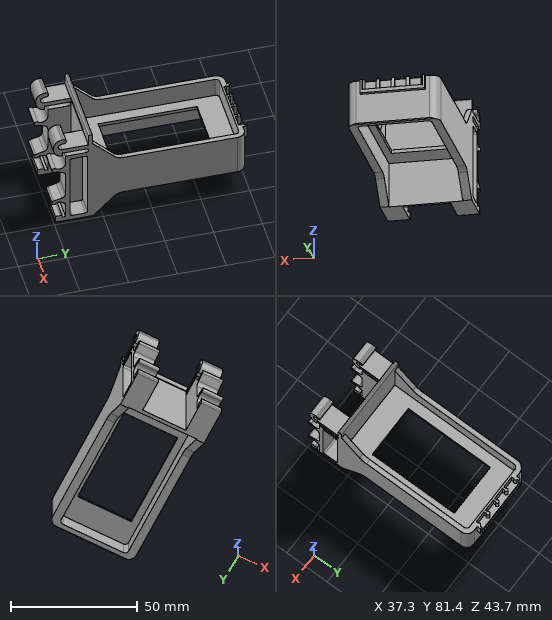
import cadquery as cq
import math


width = 37.3
length = 81.4
height = 43.7

tray_back = 79.8
tray_bottom = 10.0
tray_top = 28.6
tray_middle = (tray_bottom + tray_top) / 2
side_wall = 2.2
back_wall = 2.4
lower_side_wall = 3.7
tray_corner = 3.75
floor_thickness = 1.5
window_width = 23.8
window_front = 26.9
window_back = 67.4
flare_reach = 10.3
flare_blend = 4.9
back_bevel = 0.4

plate_front = 15.0
plate_back = 16.7
plate_round = 0.7
plate_relief = 0.25

leg_width = 9.0
pad_front = 5.6
pad_top = 34.7
leg_bottom_wall = 2.2
pocket_front = 7.5
pocket_back = 14.6
pocket_top = 32.7
pocket_corner = 0.8
pocket_end_wall = 1.5

lip_front = 1.5
lip_back = 4.4
lip_top = 3.2
lip_round = 0.9
edge_round = 0.5

arm_bottom = 36.6
arm_top = 38.6
hook_centre_y = 4.15
hook_centre_z = 40.05
hook_front = 0.7
hook_tip_y = 4.8
hook_drop_back = 4.3
hook_drop_bottom = 35.2

clip_middle = 19.4
clip_tip_radius = 1.0
clip_tip_offset = 8.7
clip_hollow_radius = 2.5
clip_root_radius = 2.0
clip_slope = math.radians(15)

holder_width = 26.2
holder_bottom = 22.7
holder_base = 1.5
recess_front = 78.3
shoulder_width = 1.0
peg_pitch = 6.0
peg_count = 5
peg_radius = 0.7
peg_neck = 1.0
peg_centre = 79.85


def box(x_min, x_max, y_min, y_max, z_min, z_max):
    size = (x_max - x_min, y_max - y_min, z_max - z_min)
    return cq.Workplane().box(*size, centered=False).translate((x_min, y_min, z_min))


def across(profile):
    """Extrude a closed Y-Z profile over the full width, centred in X."""
    return profile.extrude(width / 2, both=True)


def edge_at(y, z):
    """Select the edge along X that is centred at the given Y and Z."""
    return cq.selectors.NearestToPointSelector((0, y, z))


def make_body():
    """Tray outline, flared towards the cross plate at 45 degrees above and below."""
    flare_end = plate_back + flare_reach
    outline = [
        (plate_front, 0),
        (flare_end - tray_bottom, 0),
        (flare_end, tray_bottom),
        (tray_back, tray_bottom),
        (tray_back, tray_top),
        (flare_end, tray_top),
        (plate_back, tray_top + flare_reach),
        (plate_back, height),
        (plate_front, height),
    ]
    body = across(cq.Workplane("YZ").polyline(outline).close())
    body = body.edges(edge_at(flare_end, tray_bottom)).fillet(flare_blend)
    body = body.edges(edge_at(flare_end, tray_top)).fillet(flare_blend)
    body = body.edges(edge_at(tray_back, tray_bottom)).chamfer(back_bevel)
    body = body.edges("|Z and >Y").fillet(tray_corner)
    return body.edges("|X and >Z").fillet(plate_round)


def make_cavity(thickness, z_min, z_max):
    """Space inside the tray, leaving side walls of the given thickness."""
    half = width / 2 - thickness
    cavity = box(-half, half, plate_back, tray_back - back_wall, z_min, z_max)
    return cavity.edges("|Z and >Y").fillet(tray_corner - side_wall)


def make_leg_blocks():
    """Upright pad with a lip at its foot, over the full width."""
    block = box(-width / 2, width / 2, pad_front, plate_front, 0, pad_top)
    block = block.edges("|X and <Y and >Z").fillet(edge_round)
    lip = (
        cq.Workplane("YZ")
        .moveTo(pad_front, 0)
        .lineTo(lip_front, 0)
        .lineTo(lip_front, lip_top)
        .lineTo(lip_back, lip_top)
        .lineTo(lip_back, leg_bottom_wall)
        .lineTo(pad_front, leg_bottom_wall)
        .close()
    )
    lip = across(lip)
    lip = lip.edges("|X and <Y and <Z").fillet(edge_round)
    lip = lip.edges(edge_at(lip_back, lip_top)).fillet(lip_round)
    return block.union(lip)


def make_hook():
    """Straight arm ending in an upward curl with a short drop in front."""
    outer = hook_centre_y - hook_front
    inner = hook_centre_z - arm_top
    curl_top = hook_centre_z + inner
    tip_radius = (height - curl_top) / 2
    drop = arm_top - hook_drop_bottom
    diagonal = math.sqrt(0.5)
    profile = (
        cq.Workplane("YZ")
        .moveTo(plate_front, arm_bottom)
        .lineTo(hook_drop_back, arm_bottom)
        .lineTo(hook_drop_back, hook_drop_bottom)
        .threePointArc(
            (hook_drop_back - (hook_drop_back - hook_front) * diagonal, arm_top - drop * diagonal),
            (hook_front, arm_top),
        )
        .lineTo(hook_front, hook_centre_z)
        .threePointArc(
            (hook_centre_y - outer * diagonal, hook_centre_z + (height - hook_centre_z) * diagonal),
            (hook_centre_y, height),
        )
        .lineTo(hook_tip_y, height)
        .threePointArc((hook_tip_y + tip_radius, height - tip_radius), (hook_tip_y, curl_top))
        .lineTo(hook_centre_y, curl_top)
        .threePointArc((hook_centre_y - inner, hook_centre_z), (hook_centre_y, arm_top))
        .lineTo(plate_front, arm_top)
        .close()
    )
    return across(profile)


def make_slit_end():
    """Round end of the slit between the hook arm and the leg, against the plate."""
    radius = (arm_bottom - pad_top) / 2
    centre_y = plate_front - radius
    filler = box(-width / 2, width / 2, centre_y, plate_front, pad_top, arm_bottom)
    bore = across(cq.Workplane("YZ").center(centre_y, pad_top + radius).circle(radius))
    return filler.cut(bore)


def make_clip():
    """Upper rail clip: hollow on top, round tip, sloping underside blended into the pad."""
    tip = clip_tip_radius
    tip_z = clip_middle + clip_tip_offset
    hollow_y = pad_front - clip_hollow_radius
    centres = tip + clip_hollow_radius
    rise = math.sqrt(centres**2 - (hollow_y - tip) ** 2)
    hollow_z = tip_z + rise
    meet = (tip + (hollow_y - tip) * tip / centres, tip_z + rise * tip / centres)
    under = (tip - tip * math.sin(clip_slope), tip_z - tip * math.cos(clip_slope))

    turn = math.pi / 2 - clip_slope
    root_corner_z = under[1] - (pad_front - under[0]) * math.tan(clip_slope)
    root_y = pad_front - clip_root_radius
    root_z = root_corner_z - clip_root_radius * math.tan(turn / 2)

    def on_root(angle):
        return (root_y + clip_root_radius * math.cos(angle), root_z + clip_root_radius * math.sin(angle))

    profile = (
        cq.Workplane("YZ")
        .moveTo(pad_front, hollow_z)
        .threePointArc((hollow_y, hollow_z - clip_hollow_radius), meet)
        .threePointArc((0, tip_z), under)
        .lineTo(*on_root(turn))
        .threePointArc(on_root(turn / 2), on_root(0))
        .close()
    )
    return across(profile)


def make_pocket():
    """Blind pocket in the outer face of the left leg."""
    left = -width / 2
    pocket = box(
        left, left + leg_width - pocket_end_wall, pocket_front, pocket_back, leg_bottom_wall, pocket_top
    )
    return pocket.edges("|X").fillet(pocket_corner)


def make_pegs(z_min, z_max):
    """Row of upright keyhole pegs: a round head on a narrow neck."""
    pegs = cq.Workplane()
    for index in range(peg_count):
        x = (index - (peg_count - 1) / 2) * peg_pitch
        head = cq.Workplane(origin=(x, peg_centre, z_min)).circle(peg_radius).extrude(z_max - z_min)
        neck = box(x - peg_neck / 2, x + peg_neck / 2, recess_front, peg_centre, z_min, z_max)
        pegs = pegs.add(head.union(neck))
    return pegs.combine()


def add_holder(tray):
    """Recess in the back wall with a base ledge, end shoulders and keyhole pegs."""
    half = holder_width / 2
    recess_floor = holder_bottom + holder_base
    block = box(-half, half, recess_front, length, holder_bottom, tray_top)
    end_peg = peg_pitch * (peg_count - 1) / 2
    recess = box(-end_peg, end_peg, recess_front, length, recess_floor, tray_top)
    gap = half - shoulder_width
    rebate = box(-gap, gap, peg_centre + peg_radius, length, recess_floor, tray_top)
    tray = tray.union(block).cut(recess).cut(rebate)
    return tray.union(make_pegs(recess_floor, tray_top))


body = make_body()
body = body.cut(make_cavity(lower_side_wall, 0, tray_middle - floor_thickness / 2))
body = body.cut(make_cavity(side_wall, tray_middle + floor_thickness / 2, height))
half_window = window_width / 2
body = body.cut(box(-half_window, half_window, window_front, window_back, tray_bottom, tray_top))
body = add_holder(body)

half_gap = width / 2 - leg_width
body = body.cut(box(-half_gap, half_gap, plate_front, plate_front + plate_relief, 0, arm_top))

upper_clip = make_clip()
lower_clip = upper_clip.mirror("XY", (0, 0, clip_middle))
legs = make_leg_blocks().union(make_hook()).union(make_slit_end())
legs = legs.union(upper_clip).union(lower_clip)
legs = legs.cut(box(-half_gap, half_gap, 0, plate_front, 0, height))
pocket = make_pocket()
legs = legs.cut(pocket).cut(pocket.mirror("YZ"))

result = body.union(legs)